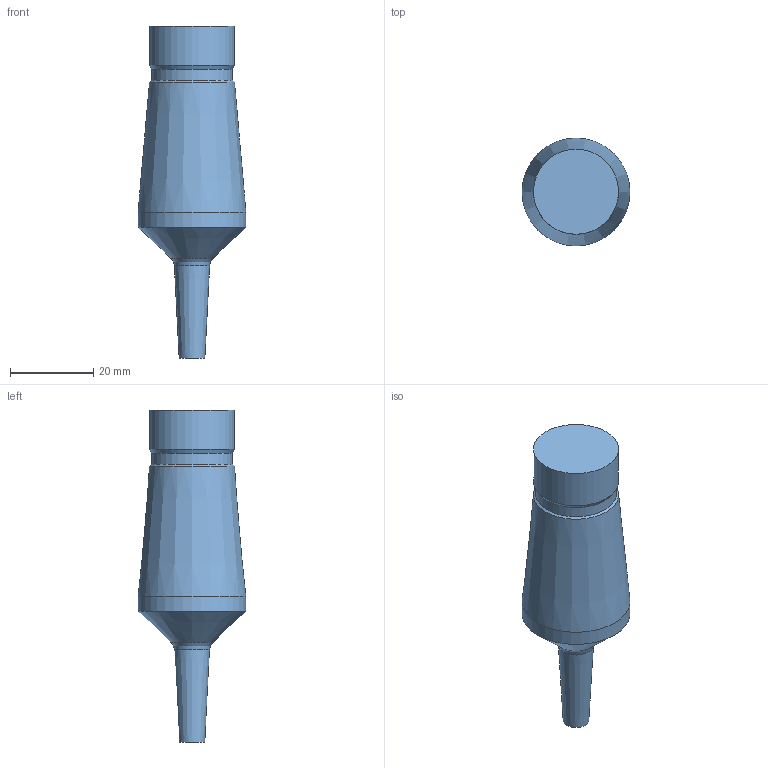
import cadquery as cq

total_height = 80.0

body_radius = 13.0
collar_radius = 10.25
groove_depth = 0.5
stem_root_radius = 4.3
stem_tip_radius = 3.1
neck_fillet_radius = 2.75

collar_height = 9.5
groove_upper_chamfer_height = 0.9
groove_floor_height = 2.7
groove_lower_chamfer_height = 0.4
taper_height = 31.4
band_height = 3.6
funnel_height = 8.2

collar_bottom = total_height - collar_height
groove_top = collar_bottom - groove_upper_chamfer_height
groove_bottom = groove_top - groove_floor_height
taper_top = groove_bottom - groove_lower_chamfer_height
band_top = taper_top - taper_height
band_bottom = band_top - band_height
stem_root = band_bottom - funnel_height

groove_radius = collar_radius - groove_depth


def revolved_body():
    """Half section in the XZ plane, turned once about the Z axis."""
    section = (
        cq.Workplane("XZ")
        .lineTo(stem_tip_radius, 0)
        .lineTo(stem_root_radius, stem_root)
        .lineTo(body_radius, band_bottom)
        .lineTo(body_radius, band_top)
        .lineTo(collar_radius, taper_top)
        .lineTo(groove_radius, groove_bottom)
        .lineTo(groove_radius, groove_top)
        .lineTo(collar_radius, collar_bottom)
        .lineTo(collar_radius, total_height)
        .lineTo(0, total_height)
        .close()
    )
    return section.revolve(360, (0, 0, 0), (0, 1, 0))


def round_neck(body):
    """Fillet the circular corner where the stem meets the funnel."""
    neck_zone = cq.selectors.BoxSelector(
        (-body_radius, -body_radius, 0.5 * stem_root),
        (body_radius, body_radius, 0.5 * (stem_root + band_bottom)),
        boundingbox=False,
    )
    return body.edges("%CIRCLE").edges(neck_zone).fillet(neck_fillet_radius)


result = round_neck(revolved_body())